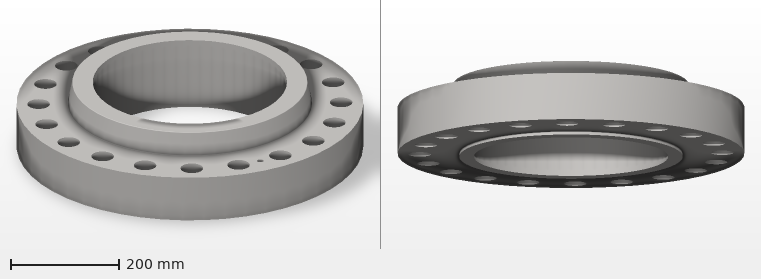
import cadquery as cq

flange_diameter = 641.0
flange_thickness = 87.0
bore_diameter = 359.0

face_diameter = 413.0
face_height = 6.0

hub_base_diameter = 451.5
hub_top_diameter = 435.0
hub_height = 43.5
hub_fillet = 1.0

bolt_count = 20
bolt_circle_diameter = 559.0
bolt_hole_diameter = 41.5

recess_diameter = 12.0
recess_depth = 3.0
pilot_diameter = 6.5
pilot_depth = 6.5

flange_top = face_height + flange_thickness
hub_top = flange_top + hub_height


def cylinder(diameter, bottom, top):
    """Solid cylinder on the Z axis between two heights."""
    return cq.Workplane("XY").workplane(offset=bottom).circle(diameter / 2).extrude(top - bottom)


def make_hub():
    """Solid cone frustum narrowing upward from the flange."""
    return (
        cq.Workplane("XZ")
        .moveTo(0, flange_top)
        .lineTo(hub_base_diameter / 2, flange_top)
        .lineTo(hub_top_diameter / 2, hub_top)
        .lineTo(0, hub_top)
        .close()
        .revolve(360, (0, 0), (0, 1))
    )


def make_body():
    """Sealing face, flange disc and hub, with both rims of the hub rounded."""
    sealing_face = cylinder(face_diameter, 0, face_height)
    disc = cylinder(flange_diameter, face_height, flange_top)
    body = sealing_face.union(disc).union(make_hub())
    annulus_radius = (hub_base_diameter + flange_diameter) / 4
    flange_annulus = cq.selectors.NearestToPointSelector((annulus_radius, 0, flange_top))
    hub_foot = cq.selectors.RadiusNthSelector(0)
    body = body.faces(flange_annulus).edges(hub_foot).fillet(hub_fillet)
    return body.faces(">Z").edges().fillet(hub_fillet)


def make_bolt_holes():
    """Through holes evenly spaced on the bolt circle, starting on +X."""
    return (
        cq.Workplane("XY")
        .polarArray(bolt_circle_diameter / 2, 0, 360, bolt_count)
        .circle(bolt_hole_diameter / 2)
        .extrude(flange_top)
    )


def make_stepped_hole():
    """Shallow recess with a narrower pilot, half a pitch after the first bolt hole."""
    recess = cylinder(recess_diameter, flange_top - recess_depth, flange_top)
    pilot = cylinder(pilot_diameter, flange_top - pilot_depth, flange_top)
    half_pitch = 360 / bolt_count / 2
    on_bolt_circle = recess.union(pilot).translate((bolt_circle_diameter / 2, 0, 0))
    return on_bolt_circle.rotate((0, 0, 0), (0, 0, 1), half_pitch)


bore = cylinder(bore_diameter, 0, hub_top)
result = make_body().cut(bore).cut(make_bolt_holes()).cut(make_stepped_hole())